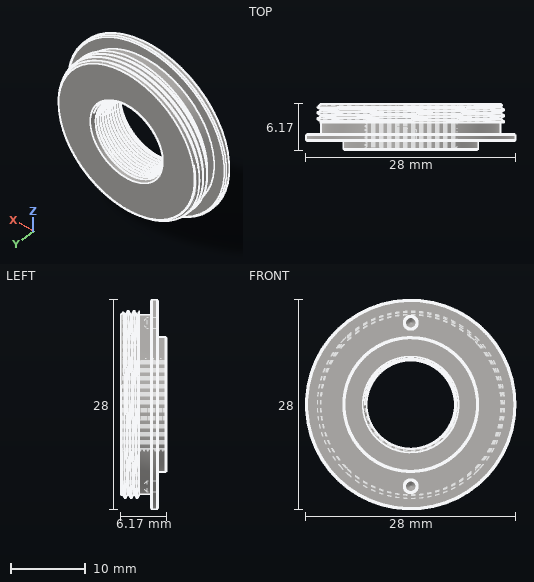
import cadquery as cq
import math


flange_diameter = 28.0
flange_thickness = 1.0
flange_chamfer = 0.2
boss_diameter = 18.05
boss_height = 1.17
boss_chamfer = 0.2

spigot_length = 4.0
neck_diameter = 24.0
outer_thread_length = 2.5
outer_thread_pitch = 25.4 / 32
outer_minor_diameter = 24.15
outer_major_diameter = 25.0
outer_crest_width = 0.1

bore_minor_diameter = 11.75
bore_major_diameter = 12.3
bore_thread_pitch = 0.5
bore_groove_floor_width = 0.06
bore_mouth_diameter = 12.8
bore_thread_lead = 0.3

pin_hole_diameter = 1.5
pin_hole_chamfer = 0.2
pin_hole_depth = 1.5
pin_hole_radius = 10.9
drill_point_angle = 90.0

thread_angle = 60.0

root_overlap = 0.05
end_margin = 2.0
mouth_tip_allowance = 1.0

front_face = -boss_height
rear_face = flange_thickness + spigot_length
thread_start = rear_face - outer_thread_length
thread_half_angle = math.radians(thread_angle / 2)


def disc(diameter, bottom, top):
    return cq.Workplane("XY").workplane(offset=bottom).circle(diameter / 2).extrude(top - bottom)


def cone(bottom_diameter, top_diameter, bottom, top):
    solid = cq.Solid.makeCone(bottom_diameter / 2, top_diameter / 2, top - bottom, cq.Vector(0, 0, bottom))
    return cq.Workplane(solid)


def threaded_rod(minor_diameter, major_diameter, crest_width, pitch, start, end):
    """A rod with a right-hand 60 degree thread that covers start to end and runs past both.

    On the +X side a crest lies exactly at the end plane.
    """
    turns = math.ceil((end - start) / pitch) + 2
    first_crest = end - (turns - 1) * pitch
    base_radius = minor_diameter / 2 - root_overlap
    crest_radius = major_diameter / 2
    crest_half = crest_width / 2
    base_half = crest_half + (crest_radius - base_radius) * math.tan(thread_half_angle)

    helix = cq.Wire.makeHelix(pitch, pitch * turns, base_radius, cq.Vector(0, 0, first_crest))
    profile = (
        cq.Workplane("XZ")
        .moveTo(base_radius, first_crest - base_half)
        .lineTo(crest_radius, first_crest - crest_half)
        .lineTo(crest_radius, first_crest + crest_half)
        .lineTo(base_radius, first_crest + base_half)
        .close()
    )
    ridge = profile.sweep(cq.Workplane(helix), isFrenet=True)
    core = disc(minor_diameter, first_crest - end_margin, end + pitch + end_margin)
    return core.union(ridge)


def make_flange_boss_and_neck():
    flange = disc(flange_diameter, 0, flange_thickness).edges().chamfer(flange_chamfer)
    boss = disc(boss_diameter, front_face, flange_thickness / 2)
    boss = boss.faces("<Z").edges().chamfer(boss_chamfer)
    neck = disc(neck_diameter, flange_thickness / 2, thread_start)
    return flange.union(boss).union(neck)


def make_outer_thread():
    """The threaded end of the spigot, cut square at the neck and bevelled 45 degrees at the rear."""
    rod = threaded_rod(
        outer_minor_diameter,
        outer_major_diameter,
        outer_crest_width,
        outer_thread_pitch,
        thread_start,
        rear_face,
    )
    envelope_height = rear_face - thread_start
    envelope = cone(neck_diameter + 2 * envelope_height, neck_diameter, thread_start, rear_face)
    return rod.intersect(envelope)


def make_bore_thread():
    """The threaded rod whose removal leaves the tapped bore."""
    return threaded_rod(
        bore_minor_diameter,
        bore_major_diameter,
        bore_groove_floor_width,
        bore_thread_pitch,
        front_face,
        rear_face + bore_thread_lead,
    )


def make_bore_mouth():
    """A 45 degree cone that opens at z = 0 and ends inside the bore."""
    tip_diameter = bore_minor_diameter - mouth_tip_allowance
    depth = (bore_mouth_diameter - tip_diameter) / 2
    return cone(bore_mouth_diameter, tip_diameter, 0, depth)


def make_pin_holes():
    """Drilled blind holes with a conical point and a chamfered rim."""
    radius = pin_hole_diameter / 2
    point_depth = radius / math.tan(math.radians(drill_point_angle / 2))
    rim_radius = radius + pin_hole_chamfer
    hole = (
        cq.Workplane("XZ")
        .lineTo(rim_radius, 0)
        .lineTo(radius, pin_hole_chamfer)
        .lineTo(radius, pin_hole_depth)
        .lineTo(0, pin_hole_depth + point_depth)
        .close()
        .revolve(360, (0, 0, 0), (0, 1, 0))
    )
    upper = hole.translate((0, pin_hole_radius, 0))
    lower = hole.translate((0, -pin_hole_radius, 0))
    return upper.union(lower)


result = make_flange_boss_and_neck().union(make_outer_thread())
mouth = make_bore_mouth()
front_mouth = mouth.translate((0, 0, front_face))
rear_mouth = mouth.mirror("XY").translate((0, 0, rear_face))
result = result.cut(front_mouth).cut(rear_mouth).cut(make_pin_holes()).cut(make_bore_thread())
result = result.rotate((0, 0, 0), (1, 0, 0), -90)